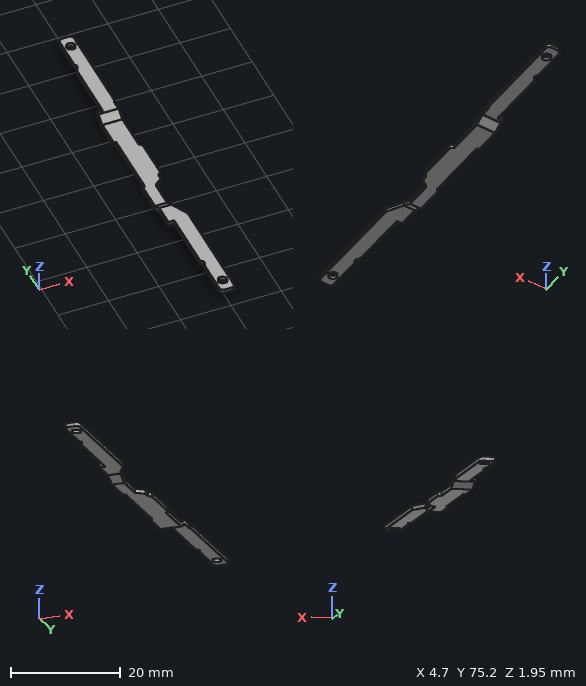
import cadquery as cq

LENGTH = 75.2
WIDTH = 4.7
HEIGHT = 1.95
THICKNESS = 0.8
HALF = LENGTH / 2

REAR_BEND_TOP = 15.8
REAR_BEND_FOOT = 14.0
FRONT_BEND_FOOT = -10.3
FRONT_BEND_TOP = -12.25

TIP_LEFT = 1.35
ARM_LEFT = 1.1
ARM_RIGHT = 4.3
REAR_SHOULDER_Y = 16.5
FRONT_SHOULDER_Y = -16.5
REAR_STEP_Y = 18.05
FRONT_TAPER_Y = -15.5
TIP_RADIUS = 0.8

NOTCH_OUTER_Y = 30.1
NOTCH_MIDDLE_Y = 29.3
NOTCH_INNER_Y = 28.5
NOTCH_BOTTOM_X = 1.65

MIDDLE_RIGHT = 4.05
NECK_RIGHT = 2.5
RECESS_DEPTH = 0.45
RECESS_REAR_Y = 8.65
RECESS_FRONT_Y = -4.4
RECESS_SLANT = 0.45
LOBE_REAR_Y = 6.55
LOBE_REAR_SLANT = 0.5
LOBE_FRONT_Y = -2.0
LOBE_FRONT_SLANT = 0.6
NECK_TAPER_START = -3.75
NECK_TAPER_END = -5.0

HOLE_DIAMETER = 1.7
HOLE_X = (TIP_LEFT + ARM_RIGHT) / 2
HOLE_TO_TIP = 2.6
HOLE_Y = HALF - HOLE_TO_TIP


def bent_strip():
    """Full-width strip with the lowered middle, extruded along X."""
    top_line = [
        (HALF, HEIGHT),
        (REAR_BEND_TOP, HEIGHT),
        (REAR_BEND_FOOT, THICKNESS),
        (FRONT_BEND_FOOT, THICKNESS),
        (FRONT_BEND_TOP, HEIGHT),
        (-HALF, HEIGHT),
    ]
    bottom_line = [(y, z - THICKNESS) for y, z in reversed(top_line)]
    return cq.Workplane("YZ").polyline(top_line + bottom_line).close().extrude(WIDTH)


def plan_outline():
    """Outline in plan, clockwise from the rear left corner, as a tall prism."""
    outline = (
        cq.Workplane("XY")
        .moveTo(TIP_LEFT, HALF)
        .lineTo(ARM_RIGHT, HALF)
        .lineTo(ARM_RIGHT, REAR_STEP_Y)
        .lineTo(MIDDLE_RIGHT, REAR_STEP_Y)
        .lineTo(MIDDLE_RIGHT, LOBE_REAR_Y)
        .lineTo(WIDTH, LOBE_REAR_Y - LOBE_REAR_SLANT)
        .lineTo(WIDTH, LOBE_FRONT_Y)
        .lineTo(MIDDLE_RIGHT, LOBE_FRONT_Y - LOBE_FRONT_SLANT)
        .lineTo(MIDDLE_RIGHT, NECK_TAPER_START)
        .lineTo(NECK_RIGHT, NECK_TAPER_END)
        .lineTo(NECK_RIGHT, FRONT_BEND_TOP)
        .lineTo(ARM_RIGHT, FRONT_TAPER_Y)
        .lineTo(ARM_RIGHT, -HALF)
        .lineTo(TIP_LEFT, -HALF)
        .lineTo(TIP_LEFT, -NOTCH_OUTER_Y)
        .threePointArc((NOTCH_BOTTOM_X, -NOTCH_MIDDLE_Y), (ARM_LEFT, -NOTCH_INNER_Y))
        .lineTo(ARM_LEFT, FRONT_SHOULDER_Y)
        .lineTo(0, FRONT_SHOULDER_Y)
        .lineTo(0, RECESS_FRONT_Y - RECESS_SLANT)
        .lineTo(RECESS_DEPTH, RECESS_FRONT_Y)
        .lineTo(RECESS_DEPTH, RECESS_REAR_Y)
        .lineTo(0, RECESS_REAR_Y)
        .lineTo(0, REAR_SHOULDER_Y)
        .lineTo(ARM_LEFT, REAR_SHOULDER_Y)
        .lineTo(ARM_LEFT, NOTCH_INNER_Y)
        .threePointArc((NOTCH_BOTTOM_X, NOTCH_MIDDLE_Y), (TIP_LEFT, NOTCH_OUTER_Y))
        .close()
        .extrude(HEIGHT)
    )
    for tip in ("<Y", ">Y"):
        outline = outline.faces(tip).edges("|Z").fillet(TIP_RADIUS)
    return outline


def mounting_holes():
    """Cutters for one through hole near each tip."""
    return (
        cq.Workplane("XY")
        .pushPoints([(HOLE_X, HOLE_Y), (HOLE_X, -HOLE_Y)])
        .circle(HOLE_DIAMETER / 2)
        .extrude(HEIGHT)
    )


result = bent_strip().intersect(plan_outline()).cut(mounting_holes())